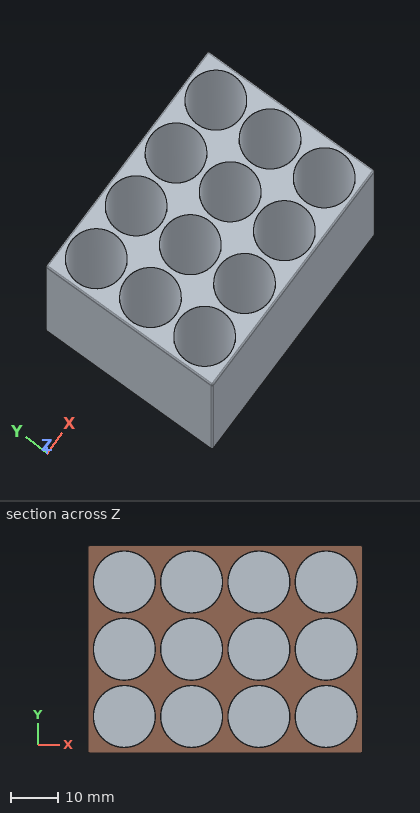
import cadquery as cq

length = 58.0
width = 43.8
height = 60.0
edge_radius = 0.4

columns = 4
rows = 3
pocket_diameter = 13.0
wall = 1.2
floor = wall
pocket_depth = height - floor
column_pitch = (length - 2 * wall - pocket_diameter) / (columns - 1)
row_pitch = (width - 2 * wall - pocket_diameter) / (rows - 1)

block = (
    cq.Workplane("XY")
    .box(length, width, height, centered=(True, True, False))
    .edges("|Z or >Z")
    .fillet(edge_radius)
)

pockets = (
    cq.Workplane("XY", origin=(0, 0, floor))
    .rarray(column_pitch, row_pitch, columns, rows)
    .circle(pocket_diameter / 2)
    .extrude(pocket_depth)
)

result = block.cut(pockets)